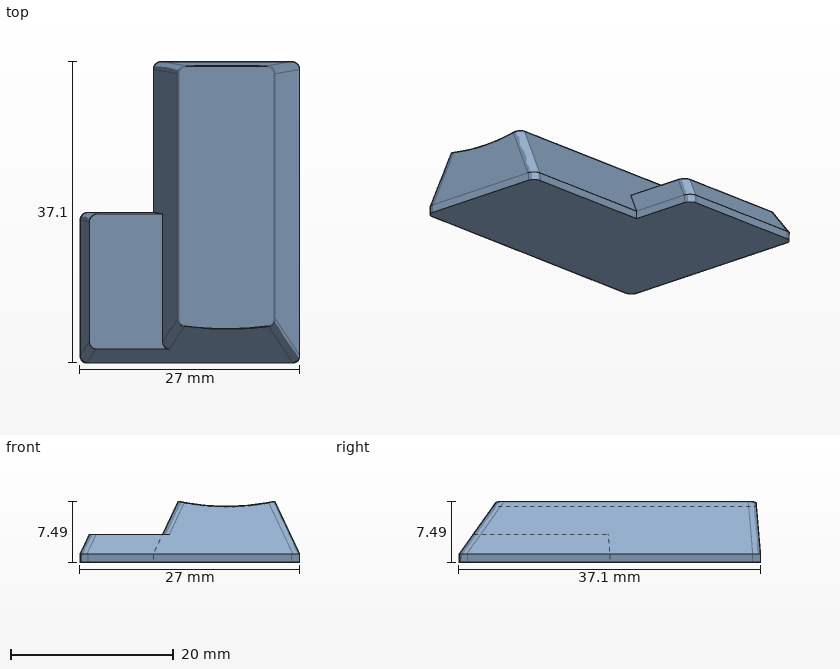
import cadquery as cq

total_width = 27.0
total_length = 37.05
step_offset = 9.0
step_length = total_length / 2

skirt_height = 1.0
step_height = 3.44
rim_height = 7.505
dish_depth = 0.63

side_lean = 0.472
front_lean = 0.71
back_lean = 0.085

corner_radius = 1.0
rim_radius = 0.1
dish_clearance = 0.5


def wall_section(x_min, x_max, y_max, height):
    """Horizontal section of a leaning-wall block, at a height above the skirt."""
    left = x_min + side_lean * height
    right = x_max - side_lean * height
    front = front_lean * height
    back = y_max - back_lean * height
    center = cq.Vector((left + right) / 2, (front + back) / 2, skirt_height + height)
    return cq.Sketch().rect(right - left, back - front).moved(cq.Location(center))


def leaning_block(x_min, x_max, y_max, top):
    """Block with a straight skirt and inward-leaning walls up to the given height."""
    lower = wall_section(x_min, x_max, y_max, 0)
    upper = wall_section(x_min, x_max, y_max, top - skirt_height)
    skirt = cq.Workplane("XY").placeSketch(lower).extrude(-skirt_height)
    walls = cq.Workplane("XY").placeSketch(lower, upper).loft(ruled=True)
    skirt = skirt.edges("not #Z").fillet(corner_radius)
    walls = walls.edges("not #Z").fillet(corner_radius)
    return skirt.union(walls)


def dish_cutter():
    """Cylinder along Y that hollows the top and leaves its side edges at rim height."""
    half_chord = (total_width - step_offset) / 2 - side_lean * (rim_height - skirt_height)
    radius = (half_chord**2 + dish_depth**2) / (2 * dish_depth)
    center_x = (step_offset + total_width) / 2
    center_z = rim_height - dish_depth + radius
    return (
        cq.Workplane("XZ", origin=(center_x, 0, center_z))
        .circle(radius)
        .extrude(-total_length)
    )


tall_body = leaning_block(step_offset, total_width, total_length, rim_height + dish_clearance)
tall_body = tall_body.cut(dish_cutter())
tall_body = tall_body.faces(">Z").edges().fillet(rim_radius)

step = leaning_block(0, (step_offset + total_width) / 2, step_length, step_height)

result = tall_body.union(step)